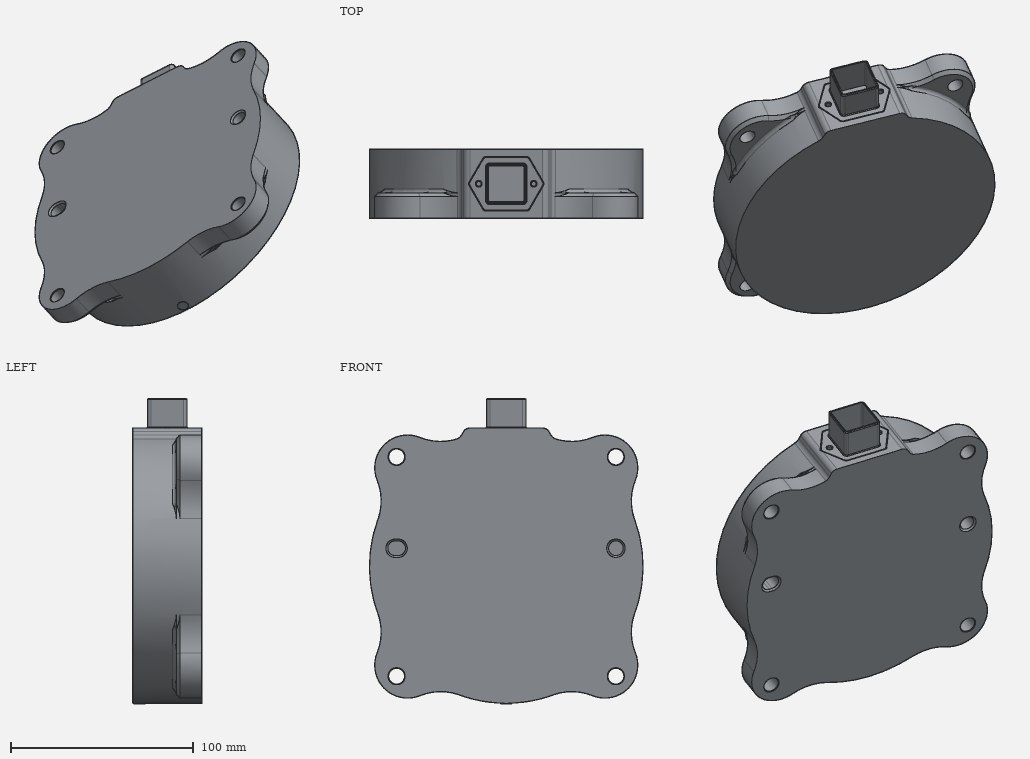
import cadquery as cq
import math

BODY_RADIUS = 74.9
BODY_DEPTH = 38.0

LUG_CENTRE = 54.0
LUG_RADIUS = 18.0
LUG_DEPTH = 14.0
LUG_CHAMFER = 2.0
LUG_ROOT_FILLET = 2.0
WAIST_RADIUS = 30.0
WAIST_OVERLAP = 0.02
LUG_COUNT = 4
LUG_INNER_RADIUS = 60.2

HOLE_OFFSET = 60.0
HOLE_DIAMETER = 8.7
HOLE_CHAMFER = 0.3
LOCATING_HEIGHT = 10.0
LOCATING_DIAMETER = 8.0
LOCATING_DEPTH = 10.0
LOCATING_CHAMFER = 1.0
LOCATING_SLOT_TRAVEL = 1.7

PAD_TOP = 75.9
PAD_CORNER_HALF_WIDTH = 22.2
PAD_FLANK_ANGLE = 60
PAD_CORNER_RADIUS = 4.0
PAD_FOOT_RADIUS = 5.0

FLANGE_HALF_LENGTH = 20.4
FLANGE_HALF_WIDTH = 14.4
FLANGE_ANGLE = 60
FLANGE_THICKNESS = 4.0
FLANGE_CORNER_RADIUS = 2.0
FLANGE_GAP = 0.5
SOCKET_WIDTH = 21.7
SOCKET_HEIGHT = 16.0
SOCKET_WALL = 1.2
SOCKET_FLOOR = 1.0
SOCKET_CORNER_RADIUS = 1.8
SOCKET_FOOT = 0.5
SOCKET_RIM_CHAMFER = 0.5
SCREW_HOLE_OFFSET = 15.0
SCREW_HOLE_DIAMETER = 2.7
SCREW_HOLE_CHAMFER = 0.5

PLUG_DIAMETER = 6.0
PLUG_Y = 34.1
PLUG_PROTRUSION = 0.3
PLUG_LENGTH = 6.0

MID_DEPTH = BODY_DEPTH / 2


def polar(centre, radius, degrees):
    angle = math.radians(degrees)
    return (centre[0] + radius * math.cos(angle), centre[1] + radius * math.sin(angle))


def mounting_face():
    return cq.Workplane("XZ")


def lug_outline():
    """Outline of the +X +Z lug, closed inside the round body."""
    diagonal = LUG_CENTRE * math.sqrt(2)
    to_body = BODY_RADIUS - WAIST_OVERLAP + WAIST_RADIUS
    to_lug = LUG_RADIUS + WAIST_RADIUS
    swing = math.degrees(math.acos((to_body**2 + diagonal**2 - to_lug**2) / (2 * to_body * diagonal)))
    lug_centre = (LUG_CENTRE, LUG_CENTRE)

    def waist(direction):
        """Arc tangent to the body and to the lug: its end on the body, its middle, its end on the lug."""
        centre = polar((0, 0), to_body, direction)
        toward_lug = math.degrees(math.atan2(LUG_CENTRE - centre[1], LUG_CENTRE - centre[0]))
        toward_body = direction - 180
        turn = (toward_lug - toward_body + 180) % 360 - 180
        return (
            polar(centre, WAIST_RADIUS, toward_body),
            polar(centre, WAIST_RADIUS, toward_body + turn / 2),
            polar(centre, WAIST_RADIUS, toward_lug),
        )

    low_body, low_middle, low_lug = waist(45 - swing)
    high_body, high_middle, high_lug = waist(45 + swing)
    return (
        mounting_face()
        .moveTo(*low_body)
        .threePointArc(low_middle, low_lug)
        .threePointArc(polar(lug_centre, LUG_RADIUS, 45), high_lug)
        .threePointArc(high_middle, high_body)
        .lineTo(*polar((0, 0), LUG_INNER_RADIUS, 45 + swing))
        .lineTo(*polar((0, 0), LUG_INNER_RADIUS, 45 - swing))
        .close()
    )


def root_fillet_ring():
    """Ring that fills the corner between the back of the lugs and the round body."""
    outer = BODY_RADIUS + LUG_ROOT_FILLET
    back = LUG_DEPTH + LUG_ROOT_FILLET
    inner = BODY_RADIUS - LUG_ROOT_FILLET
    arc_middle = polar((outer, back), LUG_ROOT_FILLET, 225)
    return (
        cq.Workplane("XY")
        .moveTo(inner, LUG_DEPTH)
        .lineTo(outer, LUG_DEPTH)
        .threePointArc(arc_middle, (BODY_RADIUS, back))
        .lineTo(inner, back)
        .close()
        .revolve(360, (0, 0, 0), (0, 1, 0))
    )


def chamfered_lug(depth):
    return lug_outline().extrude(-depth).faces(">Y").edges("%CIRCLE").chamfer(LUG_CHAMFER)


def lug():
    root_fillet = chamfered_lug(LUG_DEPTH + LUG_ROOT_FILLET).intersect(root_fillet_ring())
    return chamfered_lug(LUG_DEPTH).union(root_fillet)


def connector_pad():
    """Round body with the flat-topped pad rising from its +Z side."""
    run = PAD_TOP / math.tan(math.radians(PAD_FLANK_ANGLE))
    foot = PAD_CORNER_HALF_WIDTH + run
    top = PAD_CORNER_HALF_WIDTH
    disc = mounting_face().circle(BODY_RADIUS).extrude(-BODY_DEPTH)
    pad = (
        mounting_face()
        .polyline([(-foot, 0), (foot, 0), (top, PAD_TOP), (-top, PAD_TOP)])
        .close()
        .extrude(-BODY_DEPTH)
    )
    flanks = disc.union(pad).edges("|Y")
    corners = flanks.edges(">Z")
    rounded = corners.fillet(PAD_CORNER_RADIUS)
    return rounded.edges("|Y").edges("<Z").fillet(PAD_FOOT_RADIUS)


def hexagon(clearance, thickness):
    """Stretched hexagon of the flange, sunk into the pad from its flat top."""
    half_length = FLANGE_HALF_LENGTH + clearance
    half_width = FLANGE_HALF_WIDTH + clearance
    shoulder = half_length - half_width / math.tan(math.radians(FLANGE_ANGLE))
    return (
        cq.Workplane("XY", origin=(0, MID_DEPTH, PAD_TOP))
        .polyline(
            [
                (half_length, 0),
                (shoulder, half_width),
                (-shoulder, half_width),
                (-half_length, 0),
                (-shoulder, -half_width),
                (shoulder, -half_width),
            ]
        )
        .close()
        .extrude(-thickness)
        .edges("|Z")
        .fillet(FLANGE_CORNER_RADIUS)
    )


def through_hole(x, z):
    bore = mounting_face().center(x, z).circle(HOLE_DIAMETER / 2).extrude(-BODY_DEPTH)
    mouth = mounting_face().center(x, z).circle(HOLE_DIAMETER / 2 + HOLE_CHAMFER)
    return bore.union(mouth.extrude(-HOLE_CHAMFER, taper=45))


def locating_hole(x, travel):
    """Blind hole with a chamfered mouth, lengthened along X by the travel."""

    def section(diameter):
        face = mounting_face().center(x, LOCATING_HEIGHT)
        if travel:
            return face.slot2D(diameter + travel, diameter)
        return face.circle(diameter / 2)

    bore = section(LOCATING_DIAMETER).extrude(-LOCATING_DEPTH)
    mouth = section(LOCATING_DIAMETER + 2 * LOCATING_CHAMFER).extrude(-LOCATING_CHAMFER, taper=45)
    return bore.union(mouth)


def plug_cylinder():
    top = -(BODY_RADIUS + PLUG_PROTRUSION)
    return cq.Workplane("XY", origin=(0, PLUG_Y, top)).circle(PLUG_DIAMETER / 2).extrude(PLUG_LENGTH)


def make_housing():
    housing = connector_pad()
    for index in range(LUG_COUNT):
        housing = housing.union(lug().rotate((0, 0, 0), (0, 1, 0), index * 360 / LUG_COUNT))
    for x in (-HOLE_OFFSET, HOLE_OFFSET):
        for z in (-HOLE_OFFSET, HOLE_OFFSET):
            housing = housing.cut(through_hole(x, z))
    housing = housing.cut(locating_hole(-HOLE_OFFSET, LOCATING_SLOT_TRAVEL))
    housing = housing.cut(locating_hole(HOLE_OFFSET, 0))
    housing = housing.cut(hexagon(FLANGE_GAP, FLANGE_THICKNESS))
    return housing.cut(plug_cylinder())


def rounded_square(base_height, width, height, corner_radius):
    """Square column with rounded corners, standing above the pad top by the base height."""
    return (
        cq.Workplane("XY", origin=(0, MID_DEPTH, PAD_TOP + base_height))
        .rect(width, width)
        .extrude(height)
        .edges("|Z")
        .fillet(corner_radius)
    )


def socket_foot():
    """Sloped skirt around the base of the socket."""
    width = SOCKET_WIDTH + 2 * SOCKET_FOOT
    radius = SOCKET_CORNER_RADIUS + SOCKET_FOOT
    outline = cq.Sketch().rect(width, width).vertices().fillet(radius)
    base = cq.Workplane("XY", origin=(0, MID_DEPTH, PAD_TOP))
    return base.placeSketch(outline).extrude(SOCKET_FOOT, taper=45)


def screw_holes():
    holes = cq.Workplane("XY", origin=(0, MID_DEPTH, PAD_TOP)).pushPoints(
        [(-SCREW_HOLE_OFFSET, 0), (SCREW_HOLE_OFFSET, 0)]
    )
    bores = holes.circle(SCREW_HOLE_DIAMETER / 2).extrude(-FLANGE_THICKNESS)
    mouths = holes.circle(SCREW_HOLE_DIAMETER / 2 + SCREW_HOLE_CHAMFER).extrude(-SCREW_HOLE_CHAMFER, taper=45)
    return bores.union(mouths)


def make_connector():
    flange = hexagon(0, FLANGE_THICKNESS)
    tube = rounded_square(0, SOCKET_WIDTH, SOCKET_HEIGHT, SOCKET_CORNER_RADIUS)
    tube = tube.faces(">Z").edges().chamfer(SOCKET_RIM_CHAMFER)
    bore = rounded_square(
        SOCKET_FLOOR - FLANGE_THICKNESS,
        SOCKET_WIDTH - 2 * SOCKET_WALL,
        SOCKET_HEIGHT + FLANGE_THICKNESS,
        SOCKET_CORNER_RADIUS - SOCKET_WALL,
    )
    return flange.union(socket_foot()).union(tube).cut(bore).cut(screw_holes())


housing = make_housing()
connector = make_connector()
plug = plug_cylinder()
result = cq.Compound.makeCompound([housing.val(), connector.val(), plug.val()])